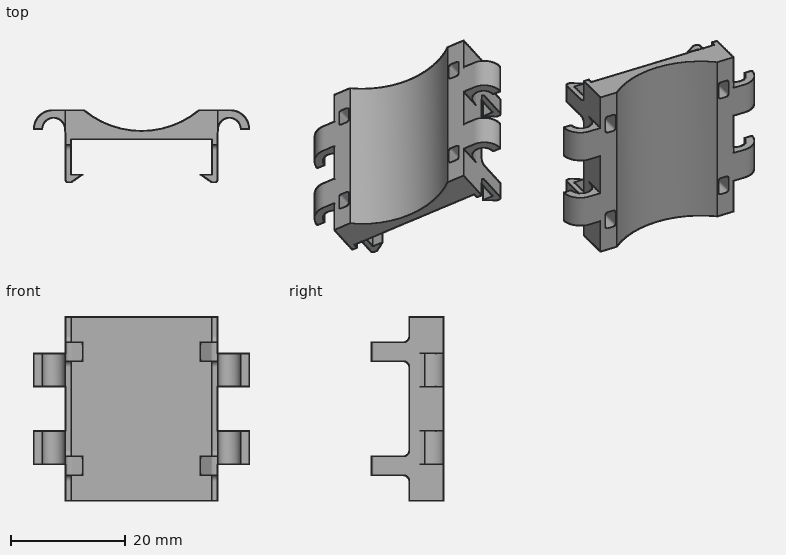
import cadquery as cq
import math

BLOCK_WIDTH = 26.5
BLOCK_HEIGHT = 32.0
PAD_DEPTH = 5.1
SADDLE_HALF_CHORD = 10.0
SADDLE_DEPTH = 3.6

LIP_THICKNESS = 1.0
LIP_DEPTH = 6.0

ARM_WIDTH = 3.34
ARM_PITCH = 19.84
ARM_LENGTH = 12.58
ARM_ROOT_RADIUS = 1.0
BARB_SHELF = 11.2
BARB_REACH = 3.0
BARB_NOSE_RADIUS = 0.5
BARB_HEEL_RADIUS = 0.4
RELIEF_CORNER_RADIUS = 0.5

CLIP_WIDTH = 5.8
CLIP_PITCH = 13.5
CLIP_OUTER_RADIUS = 3.3
CLIP_INNER_RADIUS = 1.95
CLIP_SPAN = 37.5
CLIP_ROOT_DEPTH = 4.1
CLIP_THROAT_GAP = 0.1

DIAGONAL = math.sqrt(0.5)

HALF_WIDTH = BLOCK_WIDTH / 2
LIP_INNER_X = HALF_WIDTH - LIP_THICKNESS
BARB_TIP_X = HALF_WIDTH - BARB_REACH

BACK_Y = ARM_LENGTH / 2
PAD_Y = BACK_Y - PAD_DEPTH
LIP_Y = BACK_Y - LIP_DEPTH
SHELF_Y = BACK_Y - BARB_SHELF
ARM_END_Y = BACK_Y - ARM_LENGTH


def extrude_z(outline, height, z_centre):
    """Extrude a closed XY outline symmetrically about a Z level."""
    return outline.extrude(height / 2, both=True).translate((0, 0, z_centre))


def block():
    outline = (
        cq.Workplane("XY")
        .moveTo(-HALF_WIDTH, BACK_Y)
        .lineTo(-SADDLE_HALF_CHORD, BACK_Y)
        .threePointArc((0, BACK_Y - SADDLE_DEPTH), (SADDLE_HALF_CHORD, BACK_Y))
        .lineTo(HALF_WIDTH, BACK_Y)
        .lineTo(HALF_WIDTH, LIP_Y)
        .lineTo(LIP_INNER_X, LIP_Y)
        .lineTo(LIP_INNER_X, PAD_Y)
        .lineTo(-LIP_INNER_X, PAD_Y)
        .lineTo(-LIP_INNER_X, LIP_Y)
        .lineTo(-HALF_WIDTH, LIP_Y)
        .close()
    )
    return extrude_z(outline, BLOCK_HEIGHT, 0)


def arm_root(z_centre):
    """Flare that blends both flanks of an arm into the lip."""
    half = ARM_WIDTH / 2
    reach = half + ARM_ROOT_RADIUS
    top_y = LIP_Y - ARM_ROOT_RADIUS
    bend = ARM_ROOT_RADIUS * (1 - DIAGONAL)
    outline = (
        cq.Workplane("YZ", origin=(LIP_INNER_X, 0, z_centre))
        .moveTo(LIP_Y, -reach)
        .threePointArc((LIP_Y - bend, -half - bend), (top_y, -half))
        .lineTo(top_y, half)
        .threePointArc((LIP_Y - bend, half + bend), (LIP_Y, reach))
        .close()
    )
    return outline.extrude(LIP_THICKNESS)


def arm(z_centre):
    """Right-hand snap arm with its barb pointing inwards."""
    outline = (
        cq.Workplane("XY")
        .moveTo(HALF_WIDTH, LIP_Y)
        .lineTo(HALF_WIDTH, ARM_END_Y)
        .lineTo(LIP_INNER_X, ARM_END_Y)
        .lineTo(BARB_TIP_X, SHELF_Y)
        .lineTo(LIP_INNER_X, SHELF_Y)
        .lineTo(LIP_INNER_X, LIP_Y)
        .close()
    )
    body = extrude_z(outline, ARM_WIDTH, z_centre)
    nose_edge = cq.selectors.NearestToPointSelector((HALF_WIDTH, ARM_END_Y, z_centre))
    body = body.edges(nose_edge).fillet(BARB_NOSE_RADIUS)
    heel_edge = cq.selectors.NearestToPointSelector((LIP_INNER_X, ARM_END_Y, z_centre))
    body = body.edges(heel_edge).fillet(BARB_HEEL_RADIUS)
    return body.union(arm_root(z_centre))


def barb_relief(z_centre):
    """Opening through the pad behind a barb, with rounded corners."""
    length = LIP_INNER_X - BARB_TIP_X
    opening = (
        cq.Workplane("XY")
        .box(length, PAD_DEPTH, ARM_WIDTH)
        .edges("|Y")
        .fillet(RELIEF_CORNER_RADIUS)
    )
    return opening.translate((BARB_TIP_X + length / 2, BACK_Y - PAD_DEPTH / 2, z_centre))


def clip(z_centre):
    """Right-hand clip, a quarter-round hook with a round throat."""
    end_x = CLIP_SPAN / 2
    end_y = BACK_Y - CLIP_OUTER_RADIUS
    outer_x = end_x - CLIP_OUTER_RADIUS
    bulge = CLIP_OUTER_RADIUS * DIAGONAL
    throat_x = HALF_WIDTH + CLIP_THROAT_GAP + CLIP_INNER_RADIUS
    outline = (
        cq.Workplane("XY")
        .moveTo(HALF_WIDTH, BACK_Y)
        .lineTo(outer_x, BACK_Y)
        .threePointArc((outer_x + bulge, end_y + bulge), (end_x, end_y))
        .lineTo(throat_x + CLIP_INNER_RADIUS, end_y)
        .threePointArc((throat_x, end_y + CLIP_INNER_RADIUS), (throat_x - CLIP_INNER_RADIUS, end_y))
        .lineTo(HALF_WIDTH, BACK_Y - CLIP_ROOT_DEPTH)
        .close()
    )
    return extrude_z(outline, CLIP_WIDTH, z_centre)


result = block()
for side in (-1, 1):
    arm_z = side * ARM_PITCH / 2
    clip_z = side * CLIP_PITCH / 2
    relief = barb_relief(arm_z)
    added = arm(arm_z).union(clip(clip_z))
    result = result.cut(relief).cut(relief.mirror("YZ"))
    result = result.union(added).union(added.mirror("YZ"))